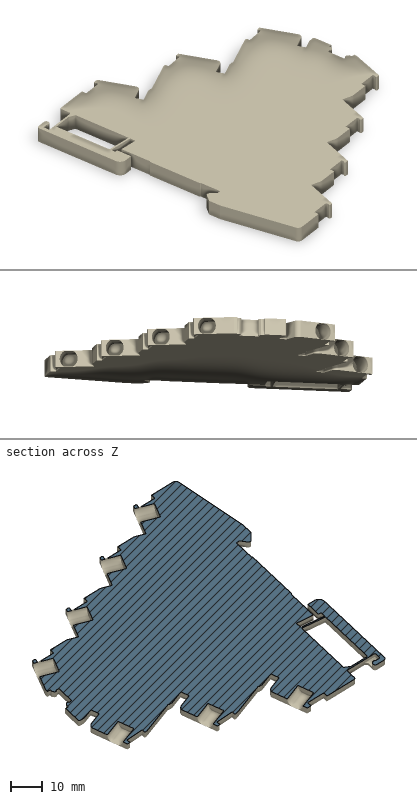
import cadquery as cq
import math


length = 99.4
height = 91.1
thickness = 5.2
slope = math.radians(20.0)
overlap = 1.0

left_tier_count = 3
left_pitch_x = 11.93
left_pitch_y = 26.6
left_first_tip_y = 32.1
entry_face_length = 14.15
entry_face_radius = 1.5
slot_depth = 6.2
slot_width = 2.95
slot_far_wall_length = 5.2
neck_top_y = 6.0
neck_nib = 0.2
shoulder_inset = 0.35
shoulder_drop = 8.15

window_depth = 1.65
lip_height = 1.05
first_lip_height = 1.55
left_sill_drop = 7.3
first_sill_drop = 7.9
wall_taper = 0.3
nib_width = 0.8
nib_drop = 0.3

right_tier_count = 4
right_pitch_x = 9.97
right_pitch_y = 21.63
right_first_tip_y = 21.85
right_sill_drop = 7.15
side_end_drop = 13.9
side_end_radius = 3.0
valley_inset = 1.35
valley_drop = 17.45

bore_diameter = 5.66
bore_height = 5.0
bore_depth = 6.5
left_bore_offset = 4.5
right_bore_offset = 4.1

groove_left = 47.6
groove_right = 56.5
groove_step_depth = 1.1
groove_step_width = 1.0
throat_half_width = 2.8
throat_top_depth = 1.8
throat_bottom_depth = 2.5
groove_half_width = 3.15
groove_depth = 3.5
top_left_end_x = 40.75
top_corner_radius = 0.4

base_y = 12.57
rail_y = 6.28
rail_relief = 0.27
relief_left = 39.85
relief_right = 59.75
rail_left = 28.75
rail_right = 67.2
nose_top_y = 5.1
nose_x = 64.35
nose_y = 2.7
nose_radius = 0.9
foot_flat_left = 67.6
foot_flat_right = 71.9
foot_heel_y = 4.7
heel_radius = 1.6
body_corner_radius = 0.6

leg_left = 4.3
leg_right = 4.96
leg_fillet = 0.5
gusset_width = 1.15
gusset_height = 2.15
clip_bar_top = 3.97
clip_end_top = 4.96
clip_end_left = 28.0
clip_end_right = 33.4
clip_end_radius = 2.3
strip_bottom_left = 25.75
strip_top_left = 26.8
strip_width = 0.65
strip_gap_top_right = 29.45
hook_left = 0.33
hook_right = 2.0
hook_top = 4.63
hook_bulge = 0.3
hook_bulge_y = 3.0
hook_tip_radius = 0.9
hook_heel_radius = 0.9
hook_slot_bottom = 1.3
hook_slot_radius = 0.5
web_thickness = 1.0
web_fillet = 1.1


def left_tip(tier):
    return (tier * left_pitch_x, left_first_tip_y + tier * left_pitch_y)


def right_tip(tier):
    return (length - tier * right_pitch_x, right_first_tip_y + tier * right_pitch_y)


def on_left_slope(tip, along, outward):
    """Point at a distance along and out of a left entry face."""
    x = tip[0] + along * math.cos(slope) - outward * math.sin(slope)
    y = tip[1] + along * math.sin(slope) + outward * math.cos(slope)
    return (x, y)


def on_right_slope(tip, along, outward):
    """Point at a distance along and out of a right entry face."""
    x = tip[0] - along * math.cos(slope) + outward * math.sin(slope)
    y = tip[1] + along * math.sin(slope) + outward * math.cos(slope)
    return (x, y)


def left_slot_floor(tip):
    near = on_left_slope(tip, entry_face_length, -slot_depth)
    far = on_left_slope(tip, entry_face_length + slot_width, -slot_depth)
    return [near, far]


def left_tier_points(tier):
    """Left edge of one tier, upwards from its shoulder to its release slot."""
    x, y = left_tip(tier)
    first = tier == 0
    sill = y - (first_sill_drop if first else left_sill_drop)
    lip = y - (first_lip_height if first else lip_height)
    shoulder = x if first else x + shoulder_inset
    wall_top = x + window_depth - (0 if first else wall_taper)
    points = [] if first else [(shoulder, y - shoulder_drop)]
    points += [
        (shoulder, sill),
        (x + window_depth, sill),
        (wall_top, lip),
        (x + nib_width, lip),
        (x + nib_width / 2, lip - nib_drop),
        (x, lip),
        (x, y),
        on_left_slope((x, y), entry_face_length, 0),
    ]
    points += left_slot_floor((x, y))
    if tier < left_tier_count - 1:
        far_wall_top = slot_far_wall_length - slot_depth
        end = on_left_slope((x, y), entry_face_length + slot_width, far_wall_top)
        neck_top = (end[0], y + neck_top_y)
        nib = (end[0] + neck_nib, neck_top[1] + 2 * neck_nib)
        points += [end, neck_top, nib]
    return points


def top_points():
    """Top edge with the marker groove, from left to right."""
    middle = (groove_left + groove_right) / 2
    slot_corner = left_slot_floor(left_tip(left_tier_count - 1))[1]
    slot_wall_rise = (slot_corner[0] - top_left_end_x) / math.tan(slope)
    left_half = [
        (groove_left - middle, 0),
        (groove_left - middle, groove_step_depth),
        (groove_left - middle + groove_step_width, groove_step_depth),
        (-throat_half_width, throat_top_depth),
        (-throat_half_width, throat_bottom_depth),
        (-groove_half_width, throat_bottom_depth),
        (-groove_half_width, groove_depth),
    ]
    points = [(top_left_end_x, slot_corner[1] + slot_wall_rise), (top_left_end_x, height)]
    points += [(middle + dx, height - depth) for dx, depth in left_half]
    points += [(middle - dx, height - depth) for dx, depth in reversed(left_half)]
    tip = right_tip(right_tier_count - 1)
    points.append((tip[0] - (height - tip[1]) / math.tan(slope), height))
    return points


def right_tier_points(tier):
    """Right edge of one tier, downwards from its lip to the valley below."""
    x, y = right_tip(tier)
    lip = y - lip_height
    sill = y - right_sill_drop
    points = [
        (x, y),
        (x, lip),
        (x - nib_width / 2, lip - nib_drop),
        (x - nib_width, lip),
        (x - window_depth, lip),
        (x - window_depth, sill),
        (x, sill),
    ]
    if tier > 0:
        points += [(x, y - side_end_drop), (x - valley_inset, y - valley_drop)]
    return points


def underside_points():
    """Rail foot and rail seat, from the right heel to the left corner."""
    return [
        (length, foot_heel_y),
        (foot_flat_right, 0),
        (foot_flat_left, 0),
        (nose_x, nose_y),
        (rail_right, nose_top_y),
        (rail_right, rail_y),
        (relief_right, rail_y),
        (relief_right - rail_relief, rail_y - rail_relief),
        (relief_left + rail_relief, rail_y - rail_relief),
        (relief_left, rail_y),
        (rail_left, rail_y),
        (strip_gap_top_right, base_y),
        (0, base_y),
    ]


def round_corner(body, point, radius):
    """Round the upright edge of a plate at one outline corner."""
    corner = cq.selectors.NearestToPointSelector((point[0], point[1], thickness / 2))
    return body.edges("|Z").edges(corner).fillet(radius)


def plate(points, plate_thickness=thickness):
    return cq.Workplane("XY").polyline(points).close().extrude(plate_thickness)


def make_housing():
    points = []
    for tier in range(left_tier_count):
        points += left_tier_points(tier)
    points += top_points()
    for tier in reversed(range(right_tier_count)):
        points += right_tier_points(tier)
    points += underside_points()
    body = plate(points)

    for tier in range(left_tier_count):
        corner = on_left_slope(left_tip(tier), entry_face_length, 0)
        body = round_corner(body, corner, entry_face_radius)
    for tier in range(1, right_tier_count):
        x, y = right_tip(tier)
        body = round_corner(body, (x, y - side_end_drop), side_end_radius)
    body = round_corner(body, (top_left_end_x, height), top_corner_radius)
    body = round_corner(body, (length, foot_heel_y), heel_radius)
    body = round_corner(body, (nose_x, nose_y), nose_radius)
    return round_corner(body, (0, base_y), body_corner_radius)


def make_clip():
    """Foot bar with its hook, hung from the housing by a leg and a slanted strip."""
    hook_neck_y = hook_bulge_y + hook_bulge
    bar = plate([
        (hook_left, 0),
        (clip_end_right, 0),
        (clip_end_right, clip_end_top),
        (clip_end_left, clip_end_top),
        (clip_end_left, clip_bar_top),
        (leg_left, clip_bar_top),
        (leg_left, hook_slot_bottom),
        (hook_right, hook_slot_bottom),
        (hook_right, hook_bulge_y),
        (hook_right + hook_bulge, hook_neck_y),
        (hook_right + hook_bulge, hook_top),
        (hook_left, hook_top),
    ])
    bar = round_corner(bar, (clip_end_right, 0), clip_end_radius)
    bar = round_corner(bar, (hook_left, 0), hook_heel_radius)
    bar = round_corner(bar, (hook_left, hook_top), hook_tip_radius)
    bar = round_corner(bar, (hook_right + hook_bulge, hook_top), hook_tip_radius)
    bar = round_corner(bar, (leg_left, hook_slot_bottom), hook_slot_radius)

    leg = plate([
        (leg_left, clip_bar_top - overlap),
        (leg_right, clip_bar_top - overlap),
        (leg_right, base_y - gusset_height),
        (leg_right + gusset_width, base_y),
        (leg_right + gusset_width, base_y + overlap),
        (leg_left, base_y + overlap),
    ])
    lean = (strip_top_left - strip_bottom_left) / (base_y - clip_bar_top)
    strip_bottom = strip_bottom_left - lean * overlap
    strip_top = strip_top_left + lean * overlap
    strip = plate([
        (strip_bottom, clip_bar_top - overlap),
        (strip_bottom + strip_width, clip_bar_top - overlap),
        (strip_top + strip_width, base_y + overlap),
        (strip_top, base_y + overlap),
    ])
    return bar.union(leg).union(strip)


def make_hook_web():
    web = plate([
        (hook_right - hook_bulge, hook_slot_bottom - hook_slot_radius),
        (leg_right, hook_slot_bottom - hook_slot_radius),
        (leg_right, hook_top + 2 * web_fillet),
        (leg_left, hook_top + 2 * web_fillet),
        (leg_left, hook_top),
        (hook_right - hook_bulge, hook_top),
    ], web_thickness)
    return round_corner(web, (leg_left, hook_top), web_fillet)


def make_bore(mouth, outward):
    """Flat-sided bore cutter, sunk into the face whose outward normal is given."""
    normal = (outward[0], outward[1], 0)
    start = (
        mouth[0] - bore_depth * outward[0],
        mouth[1] - bore_depth * outward[1],
        thickness / 2,
    )
    plane = cq.Plane(origin=start, xDir=(-outward[1], outward[0], 0), normal=normal)
    reach = bore_depth + overlap
    cylinder = cq.Workplane(plane).circle(bore_diameter / 2).extrude(reach)
    flats = cq.Workplane(plane).rect(2 * bore_diameter, bore_height).extrude(reach)
    return cylinder.intersect(flats)


def cut_bores(body):
    for tier in range(left_tier_count):
        mouth = on_left_slope(left_tip(tier), left_bore_offset, 0)
        body = body.cut(make_bore(mouth, (-math.sin(slope), math.cos(slope))))
    for tier in range(right_tier_count):
        mouth = on_right_slope(right_tip(tier), right_bore_offset, 0)
        body = body.cut(make_bore(mouth, (math.sin(slope), math.cos(slope))))
    return body


block = make_housing().union(make_clip())
block = round_corner(block, (leg_left, base_y), leg_fillet)
block = block.union(make_hook_web())
result = cut_bores(block)